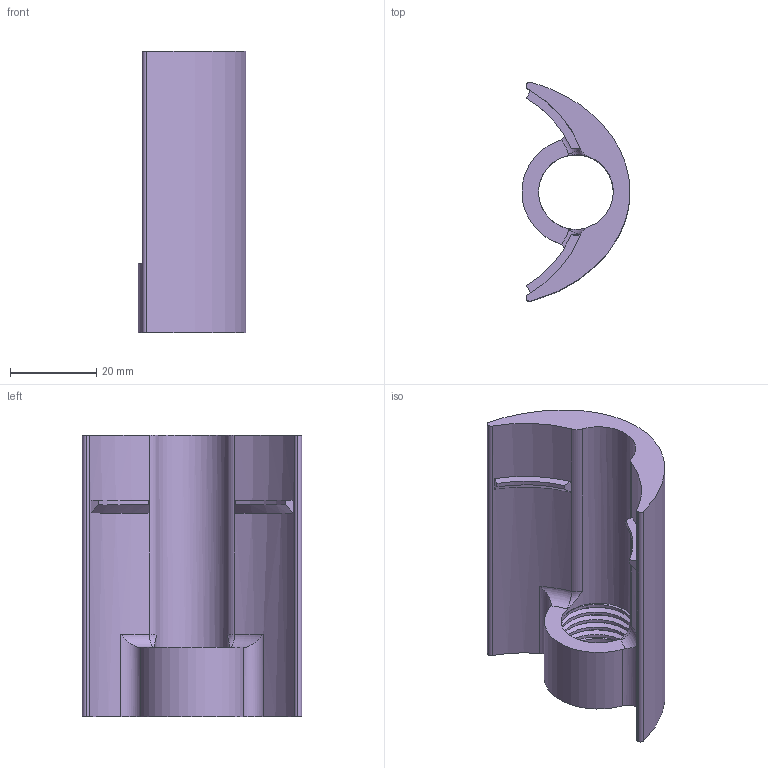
import cadquery as cq
import math

height = 65.0
blend_radius = 3.0
overlap = 0.5

bore_radius = 17.27 / 2
boss_radius = 12.5
boss_height = 16.0
boss_back_x = 4.0
blend_overrun = 5.0

inner_radius = 27.0
inner_center_x = -24.0
outer_x = 12.5
outer_semi_x = 34.0
outer_semi_y = 26.77
outer_center_x = outer_x - outer_semi_x
tip_x = -11.5
tip_fillet = 0.85

rib_depth = 2.0
rib_top = 50.0
rib_flat = 1.0
rib_end_angle = 60.0
rib_clearance_radius = 20.0 / 2

thread_radius = 19.3 / 2
thread_pitch = 25.4 / 12
thread_bottom = 5.0
thread_top = 15.0
thread_root_width = 0.2
thread_flank_angle = 30.0
thread_start = 2.35


def mirrored(point):
    """The same point on the other side of the XZ plane."""
    return (point[0], -point[1])


def polar(radius, angle, center=(0.0, 0.0)):
    """Plan point at a distance and direction from a centre."""
    return (center[0] + radius * math.cos(angle), center[1] + radius * math.sin(angle))


def cylinder(radius, bottom, top, center_x=0.0):
    return cq.Workplane("XY", origin=(center_x, 0, bottom)).circle(radius).extrude(top - bottom)


def blend_between(from_axis, from_inner_axis):
    """Centre of a blend at given distances from the bore axis and the inner face's axis,
    with the directions in which those two axes see it."""
    offset = -inner_center_x
    x = (from_inner_axis**2 - from_axis**2 - offset**2) / (2 * offset)
    y = math.sqrt(from_axis**2 - x**2)
    return (x, y), math.atan2(y, x), math.atan2(y, x - inner_center_x)


lip_center, lip_bore_angle, lip_inner_angle = blend_between(
    bore_radius + blend_radius, inner_radius + blend_radius
)
root_center, root_boss_angle, root_inner_angle = blend_between(
    boss_radius + blend_radius, inner_radius - blend_radius
)


def make_wall():
    """Crescent with rounded tips, its inner face blended toward the bore."""
    outer_angle = math.degrees(math.acos((tip_x - outer_center_x) / outer_semi_x))
    blank = (
        cq.Workplane("XY")
        .center(outer_center_x, 0)
        .ellipseArc(outer_semi_x, outer_semi_y, -outer_angle, outer_angle, startAtCurrent=False)
        .close()
        .extrude(height)
    )

    inner_center = (inner_center_x, 0.0)
    end_angle = math.acos((tip_x - overlap - inner_center_x) / inner_radius)
    inner_start = polar(inner_radius, end_angle, inner_center)
    inner_mid = polar(inner_radius, (end_angle + lip_inner_angle) / 2, inner_center)
    inner_end = polar(inner_radius, lip_inner_angle, inner_center)
    lip_mid = polar(blend_radius, (lip_bore_angle + lip_inner_angle) / 2 + math.pi, lip_center)
    lip_end = polar(bore_radius, lip_bore_angle)
    hollow = (
        cq.Workplane("XY")
        .moveTo(*inner_start)
        .threePointArc(inner_mid, inner_end)
        .threePointArc(lip_mid, lip_end)
        .lineTo(*mirrored(lip_end))
        .threePointArc(mirrored(lip_mid), mirrored(inner_end))
        .threePointArc(mirrored(inner_mid), mirrored(inner_start))
        .close()
        .extrude(height)
    )
    tips = cq.selectors.BoxSelector(
        (tip_x - overlap, -outer_semi_y, 0), (tip_x + overlap, outer_semi_y, height)
    )
    return blank.cut(hollow).edges(tips).edges("|Z").fillet(tip_fillet)


def boss_prism(bottom, top):
    """Boss outline with its concave side blends, reaching back into the wall."""
    wall_point = polar(inner_radius, root_inner_angle, (inner_center_x, 0.0))
    boss_point = polar(boss_radius, root_boss_angle)
    mid_angle = (root_inner_angle + root_boss_angle - math.pi) / 2
    root_mid = polar(blend_radius, mid_angle, root_center)
    return (
        cq.Workplane("XY", origin=(0, 0, bottom))
        .moveTo(*wall_point)
        .threePointArc(root_mid, boss_point)
        .threePointArc((-boss_radius, 0), mirrored(boss_point))
        .threePointArc(mirrored(root_mid), mirrored(wall_point))
        .lineTo(boss_back_x, -wall_point[1])
        .lineTo(boss_back_x, wall_point[1])
        .close()
        .extrude(top - bottom)
    )


def revolved(profile, center, first_angle, last_angle):
    """Turn an XZ profile about a vertical axis, between two directions in degrees."""
    solid = profile.revolve(last_angle - first_angle, (0, 0, 0), (0, 1, 0))
    return solid.rotate((0, 0, 0), (0, 0, 1), first_angle).translate((center[0], center[1], 0))


def make_top_blends():
    """Concave blend from the boss top up to the inner face and the convex lips."""
    blend_top = boss_height + blend_radius
    arc_reach = blend_radius * (1 - math.sqrt(0.5))
    arc_height = boss_height + arc_reach

    def profile(face, outward):
        """Blend section against a face of this radius, open outward (1) or inward (-1)."""
        buried = face - outward * overlap
        foot = face + outward * blend_radius
        arc_mid = (face + outward * arc_reach, arc_height)
        return (
            cq.Workplane("XZ")
            .moveTo(face, blend_top)
            .threePointArc(arc_mid, (foot, boss_height))
            .lineTo(foot, boss_height - overlap)
            .lineTo(buried, boss_height - overlap)
            .lineTo(buried, blend_top)
            .close()
        )

    inner_first = math.degrees(lip_inner_angle)
    inner_last = math.degrees(root_inner_angle) + blend_overrun
    on_inner = revolved(profile(inner_radius, -1), (inner_center_x, 0), inner_first, inner_last)
    lip_first = math.degrees(lip_inner_angle) + 180
    lip_last = math.degrees(lip_bore_angle) + 180
    on_lip = revolved(profile(blend_radius, 1), lip_center, lip_first, lip_last)
    blend = on_inner.union(on_lip).intersect(boss_prism(0, blend_top))
    return blend.union(blend.mirror("XZ"))


def make_ribs():
    """Pair of catch ribs with flat tops and sloping undersides."""
    face = inner_radius - rib_depth
    buried = inner_radius + overlap
    section = [
        (face, rib_top),
        (buried, rib_top),
        (buried, rib_top - rib_flat - rib_depth - overlap),
        (face, rib_top - rib_flat),
    ]
    profile = cq.Workplane("XZ").polyline(section).close()
    ribs = revolved(profile, (inner_center_x, 0), -rib_end_angle, rib_end_angle)
    return ribs.cut(cylinder(rib_clearance_radius, 0, height))


def make_thread():
    """Right-handed helical groove, cut off square at both ends."""
    slope = math.tan(math.radians(thread_flank_angle))
    root = thread_root_width / 2
    mouth_radius = bore_radius - overlap
    mouth = root + (thread_radius - mouth_radius) * slope
    length = thread_top - thread_start + 2 * thread_pitch
    helix = cq.Wire.makeHelix(thread_pitch, length, bore_radius)
    section = [
        (mouth_radius, -mouth),
        (thread_radius, -root),
        (thread_radius, root),
        (mouth_radius, mouth),
    ]
    groove = (
        cq.Workplane("XZ")
        .polyline(section)
        .close()
        .sweep(cq.Workplane(helix), isFrenet=True)
        .translate((0, 0, thread_start))
    )
    return groove.intersect(cylinder(thread_radius + overlap, thread_bottom, thread_top))


body = make_wall().union(boss_prism(0, boss_height)).union(make_top_blends())
bore = cylinder(bore_radius, 0, height).rotate((0, 0, 0), (0, 0, 1), 180)
result = body.union(make_ribs()).cut(bore).cut(make_thread())